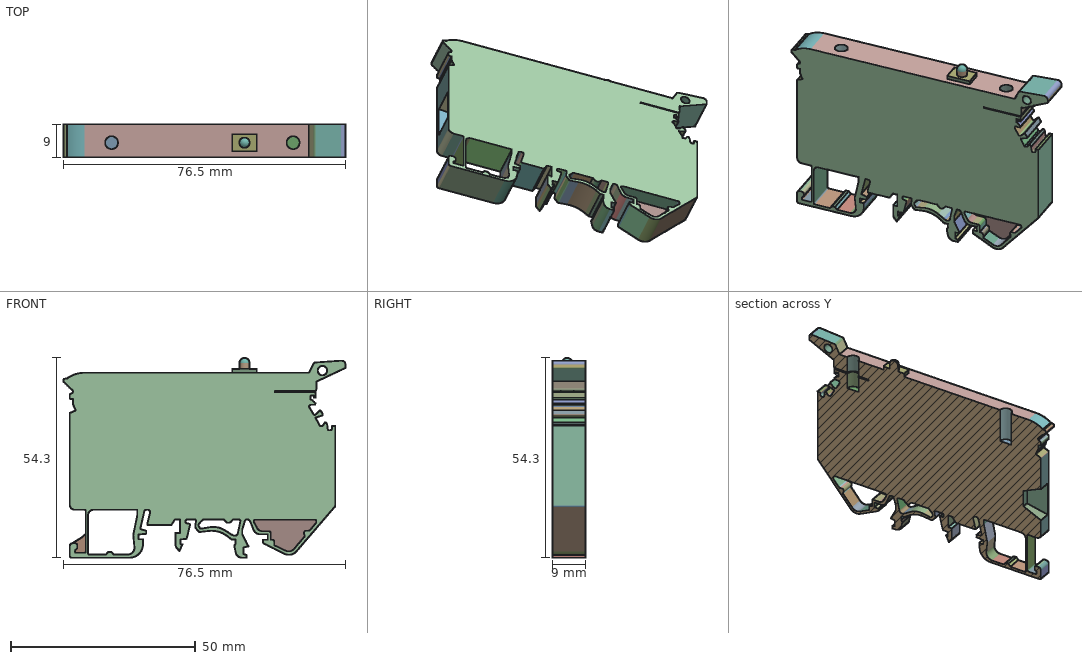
import cadquery as cq
import math


thickness = 9.0
length = 76.51
height = 54.26
lip_overhang = 1.65
tip_x = -lip_overhang
lug_end_x = length - lip_overhang
right_wall_x = 72.1
half_thickness = thickness / 2

top_z = 50.25
left_bottom_z = 13.0
step_z = 8.85
rail_z = 10.4

foot_wall = 0.93
hook_floor_z = 1.4
hook_top_z = 4.0
hook_width = 2.1
post_left_x = 4.36
post_right_x = 5.05
arm_right_x = 19.95
hook_web_thickness = 1.0

clip_left_x = 28.7
clip_notch_z = 6.75
spring_foot_right_x = 48.05
spring_notch_x = 47.2

foot_ledge_z = 4.95
foot_lip_x = 52.45
foot_neck_left_x = 53.7
foot_neck_right_x = 54.6
foot_pocket_depth = 4.0

lug_root_x = 67.0
lug_hole_diameter = 2.5
lug_hole_x = 68.6
lug_hole_z = 50.8

slit_start_x = 55.7
slit_lip_x = 66.75
slit_bottom_z = 44.95
slit_top_z = 45.2

conductor_y = -0.5
screw_hole_diameter = 3.5
screw_hole_depth = 10.0
screw_hole_xs = (11.4, 60.65)

lamp_x = 47.45
lamp_diameter = 2.8
lamp_base_length = 6.7
lamp_base_width = 4.7
lamp_base_height = 1.0

entry_z = 24.25
entry_depth = 5.6
entry_mouth = (6.75, 10.0)
entry_floor = (3.45, 4.85)


def rounded_outline(corners):
    """Closed XZ wire through corners (x, z) or (x, z, corner radius)."""
    count = len(corners)
    stretches = []
    for i in range(count):
        x, z = corners[i][:2]
        radius = corners[i][2] if len(corners[i]) > 2 else 0
        corner = cq.Vector(x, z)
        if radius == 0:
            stretches.append((corner, None, corner))
            continue
        before = cq.Vector(*corners[i - 1][:2])
        after = cq.Vector(*corners[(i + 1) % count][:2])
        to_before = (before - corner).normalized()
        to_after = (after - corner).normalized()
        half_angle = to_before.getAngle(to_after) / 2
        tangent_length = radius / math.tan(half_angle)
        start = corner + to_before * tangent_length
        end = corner + to_after * tangent_length
        bisector = (to_before + to_after).normalized()
        middle = corner + bisector * (radius / math.sin(half_angle) - radius)
        stretches.append((start, middle, end))

    first_point = stretches[0][2]
    path = cq.Workplane("XZ").moveTo(first_point.x, first_point.y)
    for start, middle, end in stretches[1:] + stretches[:1]:
        path = path.lineTo(start.x, start.y)
        if middle is not None:
            path = path.threePointArc((middle.x, middle.y), (end.x, end.y))
    return path.close()


def prism(corners, y_front, y_back):
    """Solid with the given XZ outline between two Y positions."""
    outline = rounded_outline(corners).extrude(y_front - y_back)
    return outline.translate((0, y_front, 0))


def through_prism(corners):
    return prism(corners, -half_thickness, half_thickness)


left_foot = [
    (0, left_bottom_z, 1.5),
    (post_left_x, left_bottom_z, 0.25),
    (post_left_x, hook_floor_z, 0.3),
    (1.45, hook_floor_z, 0.3),
    (1.5, 2.05),
    (hook_width, 2.6, 0.3),
    (hook_width, hook_top_z, 0.7),
    (0, hook_top_z, 0.9),
    (0, 0, 0.6),
    (arm_right_x, 0, 3.7),
    (arm_right_x, 5.1),
    (18.76, 5.1),
    (18.76, 6.3),
    (20.85, 6.5),
    (20.85, 7.35),
    (19.2, 7.85),
]

slot_and_clip = [
    (20.4, left_bottom_z, 0.5),
    (22.0, left_bottom_z, 0.6),
    (20.95, step_z, 0.4),
    (27.65, step_z),
    (28.6, rail_z),
    (29.9, rail_z),
    (29.9, clip_notch_z),
    (clip_left_x, clip_notch_z),
    (clip_left_x, 3.1, 1.4),
    (29.8, 1.8),
    (30.7, 3.75),
    (30.15, 3.75),
    (30.15, 5.0),
    (31.75, 5.1, 0.4),
    (32.15, 6.6),
    (32.75, 9.2, 0.3),
    (31.5, 9.45, 0.3),
    (31.5, rail_z, 0.4),
]

rail_spring = [
    (34.35, rail_z, 0.4),
    (34.0, 8.3, 0.9),
    (35.15, 6.95, 0.4),
    (40.6, 7.6, 7.0),
    (43.95, 4.95),
    (45.0, 4.95),
    (45.0, 3.8),
    (44.65, 3.25),
    (45.35, 0, 1.8),
    (spring_foot_right_x, 0),
    (spring_foot_right_x, 0.75),
    (spring_notch_x, 1.1),
    (spring_notch_x, 2.8),
    (48.55, 3.1),
    (46.9, 6.35),
    (46.9, 7.75),
]

right_foot = [
    (47.7, rail_z, 0.5),
    (48.75, rail_z, 0.8),
    (50.4, 6.35, 2.0),
    (foot_neck_left_x, 6.35),
    (foot_neck_left_x, foot_ledge_z),
    (foot_lip_x, foot_ledge_z),
    (foot_lip_x, 4.0, 0.6),
    (60.15, 0.12, 2.7),
]

teeth = [
    (right_wall_x, 35.8),
    (71.1, 35.8, 0.2),
    (71.2, 34.65, 0.45),
    (70.1, 34.65, 0.3),
    (69.9, 36.2),
    (69.4, 37.0, 0.25),
    (68.65, 35.8, 0.3),
    (67.95, 35.8),
    (66.75, 38.0),
    (68.9, 38.7, 0.3),
    (68.0, 40.1),
    (66.4, 38.6, 0.35),
    (64.9, 41.1, 0.2),
    (65.35, 41.5),
    (66.6, 41.5),
    (66.75, 41.9),
    (65.7, 42.9),
    (65.4, 42.9),
    (65.4, 44.0, 0.25),
    (66.2, 44.0),
    (66.2, 43.45),
    (slit_lip_x, 43.45),
    (slit_lip_x, slit_bottom_z),
    (slit_start_x, slit_bottom_z),
    (slit_start_x, slit_top_z),
]

lug = [
    (lug_root_x, slit_top_z, 0.7),
    (lug_root_x, 47.9),
    (67.25, 47.9),
    (lug_end_x, 51.5, 0.3),
    (lug_end_x, 53.6, 1.1),
    (66.3, 53.0, 0.7),
    (64.95, top_z),
]

left_lip = [
    (1.35, top_z, 8.0),
    (-0.6, 48.75),
    (tip_x, 48.55, 0.35),
    (tip_x, 47.8),
    (0.95, 45.25, 0.25),
    (0.8, 44.8),
    (0, 44.4, 0.4),
    (0, 43.05, 0.4),
    (0.9, 43.05),
    (0.9, 41.65),
    (1.65, 40.0),
    (0, 39.3, 0.2),
]


def housing():
    right_chamfer = [(right_wall_x, 14.0, 0.5)]
    outline = left_foot + slot_and_clip + rail_spring + right_foot
    outline += right_chamfer + teeth + lug + left_lip
    return through_prism(outline)


def foot_window():
    """Opening between the post and the curved arm, with a bump on its floor."""
    return through_prism([
        (post_right_x, left_bottom_z, 1.4),
        (post_right_x, foot_wall, 0.3),
        (9.85, foot_wall),
        (10.5, 1.65),
        (11.35, 1.65),
        (12.0, foot_wall),
        (17.75, foot_wall, 1.8),
        (17.25, 6.2),
        (18.35, 11.6),
        (18.35, left_bottom_z),
    ])


def spring_window():
    """Opening above the arched leaf that bears on the rail."""
    return through_prism([
        (36.2, rail_z, 0.6),
        (34.85, 8.9, 0.5),
        (35.5, 7.9, 0.3),
        (40.2, 8.75, 6.0),
        (43.75, 6.45),
        (45.4, 5.65, 0.8),
        (46.4, rail_z, 0.4),
        (44.35, rail_z),
        (43.1, 9.05, 0.9),
        (41.8, rail_z),
    ])


def right_foot_pocket():
    """Blind pocket in the right foot, open to the front face."""
    corners = [
        (49.65, rail_z, 0.5),
        (51.3, 7.25, 1.5),
        (foot_neck_right_x, 7.25, 0.6),
        (foot_neck_right_x, foot_ledge_z),
        (55.55, 4.85, 0.6),
        (55.55, 3.4),
        (59.95, 1.3, 2.0),
        (63.85, 5.9, 0.3),
        (63.2, 7.4, 0.7),
        (65.1, 7.4, 0.4),
        (67.0, 9.6, 0.3),
        (66.8, rail_z, 0.4),
    ]
    return prism(corners, -half_thickness, foot_pocket_depth - half_thickness)


def lug_hole():
    hole = cq.Workplane("XZ").center(lug_hole_x, lug_hole_z).circle(lug_hole_diameter / 2)
    return hole.extrude(half_thickness, both=True)


def screw_holes():
    centres = [(x, conductor_y) for x in screw_hole_xs]
    mouths = cq.Workplane("XY").workplane(offset=top_z).pushPoints(centres)
    return mouths.circle(screw_hole_diameter / 2).extrude(-screw_hole_depth)


def wire_entry():
    """Four-sided funnel that narrows from the left wall to a flat floor."""
    mouth = cq.Workplane("YZ").center(conductor_y, entry_z).rect(*entry_mouth)
    return mouth.workplane(offset=entry_depth).rect(*entry_floor).loft(ruled=True)


def hook_web():
    """Thin web at the back face, joining the hook to the post."""
    corners = [
        (0.6, hook_floor_z),
        (post_left_x, hook_floor_z),
        (post_left_x, 6.5),
        (3.4, 5.6),
        (0.6, 3.9),
    ]
    return prism(corners, half_thickness - hook_web_thickness, half_thickness)


def lamp():
    """Lamp with a domed end on a rectangular base."""
    radius = lamp_diameter / 2
    base = cq.Workplane("XY").box(
        lamp_base_length, lamp_base_width, lamp_base_height, centered=(True, True, False)
    )
    stem_height = height - radius - top_z
    stem = cq.Workplane("XY").circle(radius).extrude(stem_height)
    dome = cq.Workplane("XY").sphere(radius).translate((0, 0, stem_height))
    return base.union(stem).union(dome).translate((lamp_x, conductor_y, top_z))


result = housing().union(hook_web()).union(lamp())
for opening in (foot_window, spring_window, right_foot_pocket, lug_hole, screw_holes, wire_entry):
    result = result.cut(opening())